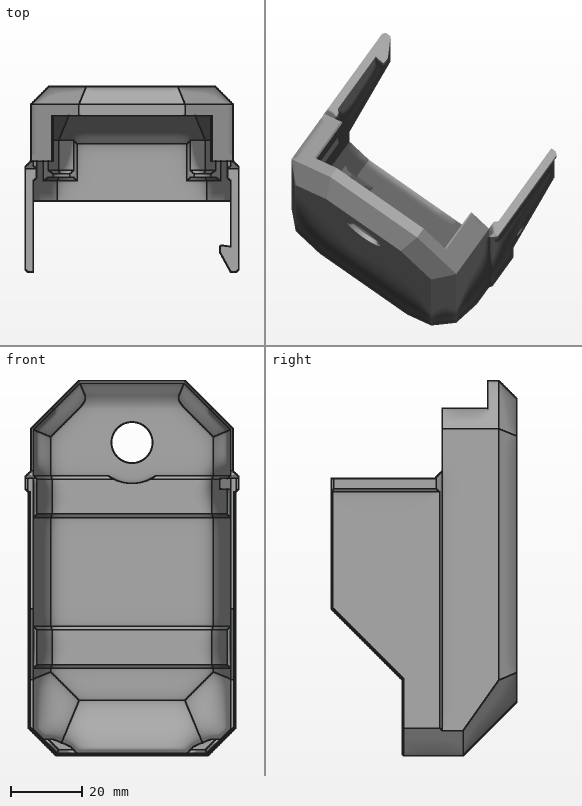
import cadquery as cq
import math

ROOT2 = math.sqrt(2)

HEIGHT = 105.55
DEPTH = 52.23
HALF_HEIGHT = HEIGHT / 2
SHELL_HALF_WIDTH = 28.45
TOP_CORNER_LEG = 13.5
BOTTOM_CORNER_LEG = 7.1
WALL = 0.7
BACK_WALL = 1.25
BACK_CHAMFER = 5.05
BOTTOM_CHAMFER = 15.1
TOP_INNER_RADIUS = 5.0

LIP_DEPTH = 8.2
LIP_DROP = 7.7
NOTCH_RUN = 3.0
SHELL_DEPTH = 21.0
SKIRT_TOP_DROP = 27.5
SKIRT_RAMP = 2.1
LOWER_DEPTH = 32.3
SKIRT_FRONT_BOTTOM_DROP = 64.2

SKIRT_STEP = 0.7
SKIRT_HALF_WIDTH = SHELL_HALF_WIDTH + SKIRT_STEP
FRONT_EDGE_CHAMFER = 0.5

STRIP_HALF_WIDTH = 30.1
STRIP_HEIGHT = 3.7
STRIP_CHAMFER = 0.75

HOOK_HEIGHT = 3.0
HOOK_REACH = 3.0
HOOK_LENGTH = 7.2
HOOK_TIP_LENGTH = 1.7
HOOK_TIP_BEVEL = 0.35

BACK_HOLE_DIAMETER = 11.5
BACK_HOLE_DROP = 17.4
RIB_CLEARANCE_DIAMETER = 23.0
SIDE_HOLE_DIAMETER = 3.5
SIDE_HOLE_DEPTH = 35.2
SIDE_HOLE_DROP = 73.2

RIB_HEIGHT = 1.0
RIB_BASE_WIDTH = 11.8
RIB_TOP_DROPS = (26.7, 69.1)
RIB_FRONT_DEPTH = 26.6
RIB_CUT_BACK = 3.0
CATCH_HEIGHT = 1.0
CATCH_REACH = 5.6
CATCH_FRONT_DEPTH = 26.6
CATCH_PLATE = 1.0
FOLD_BISECTOR = math.radians(67.5)

INNER_HALF_WIDTH = SHELL_HALF_WIDTH - WALL
OVERSHOOT = 10.0


def drop_to_z(drop):
    """Height of a point given by its drop from the top of the part."""
    return HALF_HEIGHT - drop


def octagon_sides(half_width):
    """Each side as (outward angle, distance from the centre, leg of its back chamfer)."""
    top_corner = (SHELL_HALF_WIDTH + HALF_HEIGHT - TOP_CORNER_LEG) / ROOT2
    bottom_corner = (SHELL_HALF_WIDTH + HALF_HEIGHT - BOTTOM_CORNER_LEG) / ROOT2
    return [
        (0, half_width, BACK_CHAMFER),
        (45, top_corner, BACK_CHAMFER),
        (90, HALF_HEIGHT, BACK_CHAMFER),
        (135, top_corner, BACK_CHAMFER),
        (180, half_width, BACK_CHAMFER),
        (225, bottom_corner, BOTTOM_CHAMFER),
        (270, HALF_HEIGHT, BOTTOM_CHAMFER),
        (315, bottom_corner, BOTTOM_CHAMFER),
    ]


def octagon_prism(half_width, inset, start_depth, end_depth):
    """Octagon prism along -Y, with its sides moved inward by the inset."""
    sides = octagon_sides(half_width)
    points = []
    for (angle, distance, _), (_, next_distance, _) in zip(sides, sides[1:] + sides[:1]):
        radial = distance - inset
        tangential = (next_distance - inset) * ROOT2 - radial
        c = math.cos(math.radians(angle))
        s = math.sin(math.radians(angle))
        points.append((radial * c - tangential * s, radial * s + tangential * c))
    plane = cq.Workplane("XZ", origin=(0, -start_depth, 0))
    return plane.polyline(points).close().extrude(end_depth - start_depth)


def chamfer_back(body, inset):
    """Slope the back edges at 45 degrees, with the slopes moved inward by the inset."""
    for angle, distance, leg in octagon_sides(SHELL_HALF_WIDTH):
        c = math.cos(math.radians(angle))
        s = math.sin(math.radians(angle))
        plane = cq.Plane(origin=(0, 0, 0), xDir=(c, 0, s), normal=(-s, 0, c))
        start = distance - leg - ROOT2 * inset
        far = distance + OVERSHOOT
        wedge = (
            cq.Workplane(plane)
            .polyline([(start, 0), (far, 0), (far, start - far)])
            .close()
            .extrude(HEIGHT, both=True)
        )
        body = body.cut(wedge)
    return body


def plan_prism(points, bottom_drop, top_drop):
    """Prism along Z from (x, depth) points between two drops from the top."""
    outline = [(x, -depth) for x, depth in points]
    base = cq.Workplane("XY", origin=(0, 0, drop_to_z(bottom_drop)))
    return base.polyline(outline).close().extrude(bottom_drop - top_drop)


def side_envelope():
    """Everything within the side outline of the part."""
    skirt_back = SHELL_DEPTH + SKIRT_RAMP
    slant_drop = SKIRT_FRONT_BOTTOM_DROP + DEPTH - LOWER_DEPTH
    outline = [
        (0, 0),
        (SHELL_DEPTH, 0),
        (SHELL_DEPTH, SKIRT_TOP_DROP - SKIRT_RAMP),
        (skirt_back, SKIRT_TOP_DROP),
        (DEPTH, SKIRT_TOP_DROP),
        (DEPTH, SKIRT_FRONT_BOTTOM_DROP),
        (LOWER_DEPTH, slant_drop),
        (LOWER_DEPTH, HEIGHT),
        (0, HEIGHT),
    ]
    points = [(-depth, drop_to_z(drop)) for depth, drop in outline]
    return cq.Workplane("YZ").polyline(points).close().extrude(STRIP_HALF_WIDTH, both=True)


def lip_notch():
    """Space in front of the top lip, ending square to the two top corner walls."""
    end_x = SHELL_HALF_WIDTH - TOP_CORNER_LEG + LIP_DROP
    right = [
        (end_x, HALF_HEIGHT),
        (end_x, drop_to_z(LIP_DROP)),
        (end_x - NOTCH_RUN, drop_to_z(LIP_DROP + NOTCH_RUN)),
    ]
    outline = right + [(-x, z) for x, z in reversed(right)]
    plane = cq.Workplane("XZ", origin=(0, -LIP_DEPTH, 0))
    return plane.polyline(outline).close().extrude(DEPTH)


def flared_plan(half_width):
    """Plan outline that widens at 45 degrees from the shell to the given half width."""
    flare_end = SHELL_DEPTH + half_width - SHELL_HALF_WIDTH
    right = [(SHELL_HALF_WIDTH, SHELL_DEPTH), (half_width, flare_end), (half_width, DEPTH)]
    return right + [(-x, depth) for x, depth in reversed(right)]


def is_front_outer_edge(edge):
    """True for the outer edges around the front of the skirts and the bottom."""
    start, end = edge.startPoint(), edge.endPoint()
    middle = edge.Center()
    level = abs(start.z - end.z) < WALL
    along_x = level and abs(start.x - end.x) > WALL
    along_y = level and not along_x
    at_bottom = middle.z < WALL - HALF_HEIGHT
    at_front = middle.y < WALL - LOWER_DEPTH
    return at_front and not along_y and (at_bottom or not along_x)


def outer_body():
    shell = chamfer_back(octagon_prism(SHELL_HALF_WIDTH, 0, 0, DEPTH), 0)
    skirt = plan_prism(flared_plan(SKIRT_HALF_WIDTH), HEIGHT, 0)
    skirt = skirt.intersect(octagon_prism(SKIRT_HALF_WIDTH, 0, 0, DEPTH))
    body = shell.union(skirt).intersect(side_envelope()).cut(lip_notch())
    front_edges = [edge for edge in body.edges().vals() if is_front_outer_edge(edge)]
    return body.newObject(front_edges).chamfer(FRONT_EDGE_CHAMFER)


def cavity():
    space = octagon_prism(SHELL_HALF_WIDTH, WALL, BACK_WALL, DEPTH + OVERSHOOT)
    space = chamfer_back(space, BACK_WALL)
    top_back_edge = space.faces(">Y").edges(">Z")
    return top_back_edge.fillet(TOP_INNER_RADIUS)


def edge_strips():
    """Strips that thicken the top of both skirts, bevelled at the front and below."""
    bottom_drop = SKIRT_TOP_DROP + STRIP_HEIGHT
    strips = plan_prism(flared_plan(STRIP_HALF_WIDTH), bottom_drop, SKIRT_TOP_DROP - SKIRT_RAMP)
    outer_faces = strips.faces("<X or >X")
    bevelled = outer_faces.edges("<Z or <Y").chamfer(STRIP_CHAMFER)
    return bevelled.intersect(side_envelope())


def hook():
    root = INNER_HALF_WIDTH
    tip = root - HOOK_REACH
    back = DEPTH - HOOK_LENGTH
    tip_back = back - HOOK_TIP_BEVEL
    points = [
        (root + WALL, back),
        (root, back),
        (tip + HOOK_TIP_BEVEL, tip_back),
        (tip, back),
        (tip, back + HOOK_TIP_LENGTH),
        (root, DEPTH),
        (root + WALL, DEPTH),
    ]
    return plan_prism(points, SKIRT_TOP_DROP + HOOK_HEIGHT, SKIRT_TOP_DROP)


def cavity_plan(inset):
    """Plan outline of the cavity between its end slopes, moved inward by the inset."""
    half_width = INNER_HALF_WIDTH - inset
    back = BACK_WALL + inset
    slope_start = SHELL_HALF_WIDTH - BACK_CHAMFER - ROOT2 * (BACK_WALL + inset)
    right = [
        (slope_start + back, -back),
        (half_width, slope_start - half_width),
        (half_width, -DEPTH),
    ]
    return right + [(-x, y) for x, y in reversed(right)]


def rib(top_drop):
    """U-shaped rib on the back and side walls."""
    bottom_z = drop_to_z(top_drop + RIB_BASE_WIDTH)
    top_z = drop_to_z(top_drop)
    right = cavity_plan(0)[:2]
    cut_back = RIB_FRONT_DEPTH - RIB_CUT_BACK
    right.append((INNER_HALF_WIDTH, -RIB_FRONT_DEPTH))
    right.append((INNER_HALF_WIDTH - RIB_CUT_BACK, -cut_back))
    outline = right + [(-x, y) for x, y in reversed(right)]
    base = cq.Workplane("XY", origin=(0, 0, bottom_z))
    body = base.polyline(outline).close().extrude(RIB_BASE_WIDTH)

    inner = cavity_plan(RIB_HEIGHT)
    opening = base.polyline(inner).close().extrude(RIB_BASE_WIDTH)
    for end_z, direction in ((bottom_z, 1), (top_z, -1)):
        end = cq.Workplane("XY", origin=(0, 0, end_z))
        flare = (
            end.polyline(cavity_plan(0))
            .close()
            .workplane(offset=direction * RIB_HEIGHT)
            .polyline(inner)
            .close()
            .loft(ruled=True)
        )
        opening = opening.union(flare)
    return body.cut(opening)


def back_cylinder(diameter, start_depth, length):
    """Cylinder along Y on the axis of the back hole."""
    plane = cq.Workplane("XZ", origin=(0, -start_depth, drop_to_z(BACK_HOLE_DROP)))
    return plane.circle(diameter / 2).extrude(length)


def corner_catch():
    """Folded pad with a gusset, laid over the fold between the bottom wall and the +X corner wall."""
    fold_x = SHELL_HALF_WIDTH - BOTTOM_CORNER_LEG - WALL / math.tan(FOLD_BISECTOR)
    fold_z = WALL - HALF_HEIGHT
    fold = (fold_x, 0, fold_z)

    gusset_height = 2 * CATCH_HEIGHT
    chord_end = CATCH_REACH - gusset_height
    chord_distance = chord_end * math.cos(FOLD_BISECTOR) + gusset_height * math.sin(FOLD_BISECTOR)
    chord_middle = (
        -chord_distance * math.cos(FOLD_BISECTOR),
        chord_distance * math.sin(FOLD_BISECTOR),
    )
    section = [(0, 0), (-CATCH_REACH, 0), (-chord_end, gusset_height), chord_middle]
    half = cq.Workplane("XZ", origin=fold).polyline(section).close().extrude(DEPTH)

    plate_front = CATCH_FRONT_DEPTH - CATCH_HEIGHT
    plate_back = plate_front - CATCH_PLATE
    pad_back = BOTTOM_CHAMFER + ROOT2 * BACK_WALL - WALL - CATCH_HEIGHT
    profile = [
        (pad_back, 0),
        (pad_back, CATCH_HEIGHT),
        (plate_back - CATCH_HEIGHT, CATCH_HEIGHT),
        (plate_back, gusset_height),
        (plate_back, chord_distance),
        (plate_front, chord_distance),
        (plate_front, CATCH_HEIGHT),
        (CATCH_FRONT_DEPTH, 0),
    ]
    points = [(-depth, height) for depth, height in profile]
    profile_prism = cq.Workplane("YZ", origin=fold).polyline(points).close().extrude(-CATCH_REACH)
    half = half.intersect(profile_prism)

    normal = cq.Vector(math.sin(FOLD_BISECTOR), 0, math.cos(FOLD_BISECTOR))
    other_half = half.mirror(normal, fold)
    return half.union(other_half)


body = outer_body().union(edge_strips()).cut(cavity()).union(hook())

rib_clearance = back_cylinder(RIB_CLEARANCE_DIAMETER, BACK_WALL, DEPTH)
for rib_drop in RIB_TOP_DROPS:
    trimmed_rib = rib(rib_drop).intersect(side_envelope()).cut(rib_clearance)
    body = body.union(trimmed_rib)

catch = corner_catch()
body = body.union(catch).union(catch.mirror("YZ"))

back_hole = back_cylinder(BACK_HOLE_DIAMETER, 0, BACK_WALL)
side_hole = (
    cq.Workplane("YZ", origin=(0, -SIDE_HOLE_DEPTH, drop_to_z(SIDE_HOLE_DROP)))
    .circle(SIDE_HOLE_DIAMETER / 2)
    .extrude(-STRIP_HALF_WIDTH)
)
result = body.cut(back_hole).cut(side_hole)